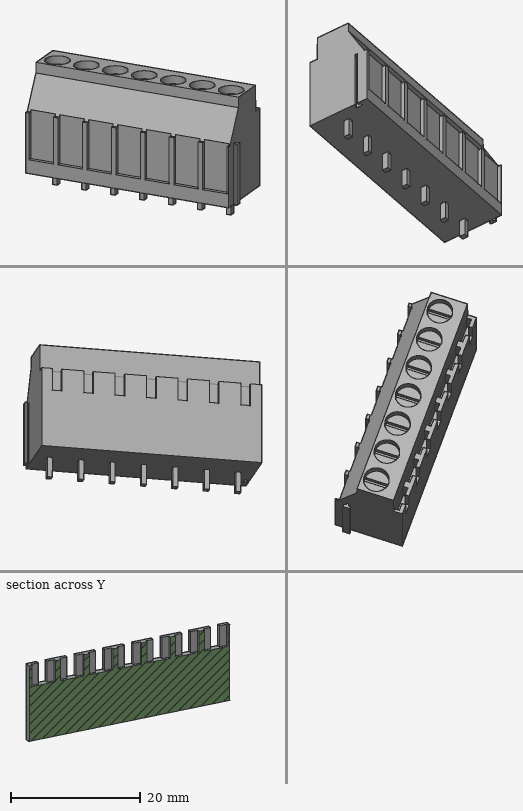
import cadquery as cq

pole_count = 7
pitch = 5.0
first_pole_x = 2.55
pole_positions = [first_pole_x + pitch * index for index in range(pole_count)]

dovetail_y = 2.05
neck_width = 0.43
head_width = 1.15
rib_neck_depth = 0.2
groove_neck_depth = 0.32
flare_depth = 0.2
head_depth = 0.3

total_length = 35.65
housing_length = total_length - (rib_neck_depth + flare_depth + head_depth)
housing_depth = 11.0
housing_height = 17.08
shoulder_height = 10.0
shoulder_depth = 0.5
slope_top_height = 15.35
slope_top_y = 3.53
crown_front_y = 3.6
crown_rear_y = 9.55
ledge_height = 12.8
ledge_front_y = 9.63

panel_width = 4.2
panel_depth = 0.68
panel_bottom = 2.28
panel_top = 10.35
panel_offset = 0.1

screw_y = 5.92
screw_diameter = 3.95
screw_recess = 1.32
screw_slot_width = 0.65
screw_slot_depth = 0.8

pocket_depth = 3.55
pocket_mouth_width = 1.55
pocket_mouth_length = 0.65
pocket_inner_width = 4.0

pin_width = 0.8
pin_thickness = 1.0
pin_length = 3.2
pin_y = 5.53


def box(x_min, x_max, y_min, y_max, z_min, z_max):
    """Axis-aligned block between the given limits."""
    return (
        cq.Workplane("XY")
        .box(x_max - x_min, y_max - y_min, z_max - z_min, centered=False)
        .translate((x_min, y_min, z_min))
    )


def housing():
    """Stepped side profile extruded along the row of poles."""
    return (
        cq.Workplane("YZ")
        .polyline([
            (0, 0),
            (housing_depth, 0),
            (housing_depth, ledge_height),
            (ledge_front_y, ledge_height),
            (crown_rear_y, housing_height),
            (crown_front_y, housing_height),
            (slope_top_y, slope_top_height),
            (shoulder_depth, shoulder_height),
            (0, shoulder_height),
        ])
        .close()
        .extrude(housing_length)
    )


def front_panel(pole_x):
    """Shallow rectangular recess in the front face, open into the slope above."""
    centre_x = pole_x + panel_offset
    half_width = panel_width / 2
    return box(centre_x - half_width, centre_x + half_width, 0, panel_depth, panel_bottom, panel_top)


def screw_well(pole_x):
    """Round well down to the screw head, with the driver slot below it."""
    head_height = housing_height - screw_recess
    slot_bottom = head_height - screw_slot_depth
    screw_radius = screw_diameter / 2
    well = (
        cq.Workplane("XY", origin=(pole_x, screw_y, slot_bottom))
        .circle(screw_radius)
        .extrude(housing_height - slot_bottom)
    )
    for side in (-1, 1):
        slot_edge_x = pole_x + side * screw_slot_width / 2
        rim_x = pole_x + side * screw_radius
        head_half = box(
            min(slot_edge_x, rim_x), max(slot_edge_x, rim_x),
            screw_y - screw_radius, screw_y + screw_radius,
            slot_bottom, head_height,
        )
        well = well.cut(head_half)
    return well


def rear_pocket(pole_x):
    """Blind T-shaped pocket in the ledge, with its narrow mouth in the rear face."""
    bottom = ledge_height - pocket_depth
    inner_rear_y = housing_depth - pocket_mouth_length
    half_mouth = pocket_mouth_width / 2
    half_inner = pocket_inner_width / 2
    mouth = box(pole_x - half_mouth, pole_x + half_mouth, inner_rear_y, housing_depth, bottom, ledge_height)
    inner = box(pole_x - half_inner, pole_x + half_inner, ledge_front_y, inner_rear_y, bottom, ledge_height)
    return mouth.union(inner)


def pin(pole_x):
    """Rectangular solder pin below the housing."""
    return box(
        pole_x - pin_width / 2, pole_x + pin_width / 2,
        pin_y - pin_thickness / 2, pin_y + pin_thickness / 2,
        -pin_length, 0,
    )


def dovetail(face_x, neck_depth):
    """Upright dovetail bar that starts at face_x and widens towards +X."""
    half_neck = neck_width / 2
    half_head = head_width / 2
    head_start = neck_depth + flare_depth
    head_end = head_start + head_depth
    return (
        cq.Workplane("XY", origin=(face_x, dovetail_y, 0))
        .polyline([
            (0, -half_neck),
            (neck_depth, -half_neck),
            (head_start, -half_head),
            (head_end, -half_head),
            (head_end, half_head),
            (head_start, half_head),
            (neck_depth, half_neck),
            (0, half_neck),
        ])
        .close()
        .extrude(shoulder_height)
    )


result = housing().cut(dovetail(0, groove_neck_depth)).union(dovetail(housing_length, rib_neck_depth))
for x in pole_positions:
    result = result.cut(front_panel(x))
    result = result.cut(screw_well(x))
    result = result.cut(rear_pocket(x))
    result = result.union(pin(x))